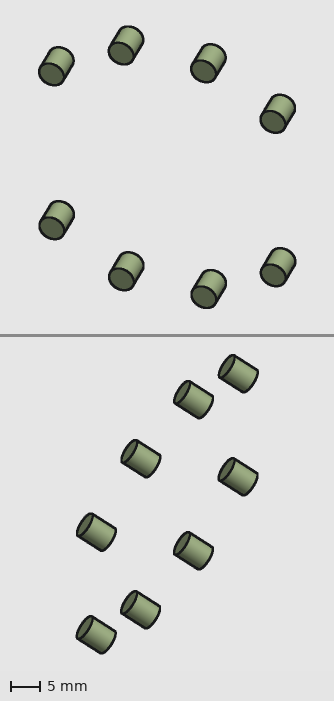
import cadquery as cq

pin_diameter = 4.55
pin_length = 5.0
overall_width = 45.15
overall_height = 53.1

outer_x = (overall_width - pin_diameter) / 2
end_z = (overall_height - pin_diameter) / 2

outer_inset_x = 20.25
inner_x = 7.55
bottom_left_x = 7.5
bottom_right_x = 7.6
upper_left_z = 16.55
upper_right_z = 16.6
lower_left_z = 16.5
lower_right_z = 16.35

pin_centres = [
    (-inner_x, end_z),
    (inner_x, end_z),
    (outer_inset_x, upper_right_z),
    (outer_x, -lower_right_z),
    (bottom_right_x, -end_z),
    (-bottom_left_x, -end_z),
    (-outer_inset_x, -lower_left_z),
    (-outer_x, upper_left_z),
]


def make_pin(x, z):
    """Plain cylinder along Y, centred lengthwise on the XZ plane."""
    return (
        cq.Workplane("XZ", origin=(x, pin_length / 2, z))
        .circle(pin_diameter / 2)
        .extrude(pin_length)
    )


pins = [make_pin(x, z) for x, z in pin_centres]

result = cq.Compound.makeCompound([pin.val() for pin in pins])